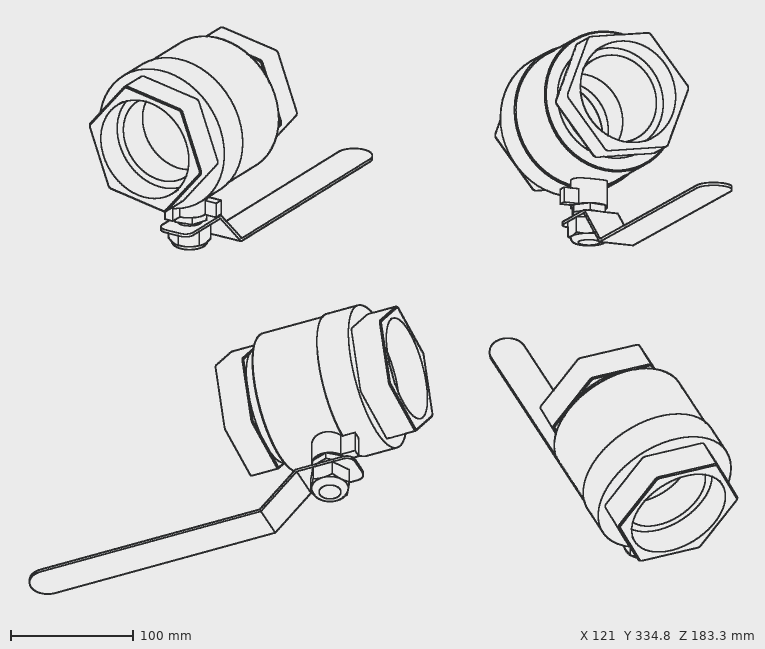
import cadquery as cq
import math


OVERALL_LENGTH = 334.82
FRONT_END = -68.5
CAP_RING_FRONT = -42.4
SPLIT_PLANE = -14.3
BARREL_REAR = 44.3
REAR_HEX_FRONT = 53.9
REAR_END = 78.7

BARREL_DIAMETER = 118
CAP_RING_DIAMETER = 121
COLLAR_DIAMETER = 95.8
BORE_DIAMETER = 73.2
SOCKET_DIAMETER = 85.3
SOCKET_DEPTH = 25

HEX_ACROSS_FLATS = 96
HEX_CORNER_FILLET = 4
HEX_TURN = 9.5
EDGE_CHAMFER = 1

BOSS_DIAMETER = 30
BOSS_BOTTOM = -79.2
STOP_REACH = 25.7
STOP_WIDTH = 7.8
SIDE_STOP_HEIGHT = 12.5

GLAND_ACROSS_CORNERS = 30
GLAND_TURN = 10
GLAND_BOTTOM = -85.2
NECK_DIAMETER = 20
THREAD_DIAMETER = 17.8

HANDLE_WIDTH = 30
HANDLE_THICKNESS = 2.5
HANDLE_TOP = -88.5
HANDLE_BOTTOM = -122.82
HANDLE_FRONT = -25.7
HANDLE_REAR = FRONT_END + OVERALL_LENGTH
HANDLE_FRONT_FILLET = 7.5
BEND_START = 24.3
BEND_ANGLE = 45

NUT_ACROSS_FLATS = 30
NUT_BOTTOM = -108.9
NUT_DOME_FILLET = 4
NUT_CORNER_SLOPE = 30


def pipe_cylinder(diameter, start, end):
    """Cylinder on the pipe axis between two Y positions."""
    return cq.Workplane("XZ", origin=(0, start, 0)).circle(diameter / 2).extrude(start - end)


def stem_cylinder(diameter, bottom, top):
    """Cylinder on the stem axis between two heights."""
    return cq.Workplane("XY", origin=(0, 0, bottom)).circle(diameter / 2).extrude(top - bottom)


def across_corners(across_flats):
    """Corner-to-corner size of a hexagon."""
    return across_flats / math.cos(math.pi / 6)


def pipe_hexagon(start, end):
    """Hexagon on the pipe axis with rounded corners and a chamfered front end."""
    hexagon = (
        cq.Workplane("XZ", origin=(0, start, 0))
        .polygon(6, across_corners(HEX_ACROSS_FLATS))
        .extrude(start - end)
        .edges("|Y")
        .fillet(HEX_CORNER_FILLET)
        .rotate((0, 0, 0), (0, 1, 0), HEX_TURN)
    )
    return hexagon.faces("<Y").edges().chamfer(EDGE_CHAMFER)


def make_cap():
    """Front half of the valve body: ring and hexagon around the bore."""
    ring = pipe_cylinder(CAP_RING_DIAMETER, CAP_RING_FRONT, SPLIT_PLANE)
    cap = ring.union(pipe_hexagon(FRONT_END, CAP_RING_FRONT))
    cap = cap.cut(pipe_cylinder(BORE_DIAMETER, FRONT_END, SPLIT_PLANE))
    return cap.cut(pipe_cylinder(SOCKET_DIAMETER, FRONT_END, FRONT_END + SOCKET_DEPTH))


def make_stops():
    """Front stop over the full boss height and a shorter stop on the +X side."""
    front_stop = cq.Workplane("XY", origin=(0, 0, BOSS_BOTTOM)).box(
        STOP_WIDTH, STOP_REACH, -BOSS_BOTTOM - BORE_DIAMETER / 2, centered=False
    ).translate((-STOP_WIDTH, -STOP_REACH, 0))
    side_stop = cq.Workplane("XY", origin=(0, 0, BOSS_BOTTOM)).box(
        STOP_REACH, STOP_WIDTH, SIDE_STOP_HEIGHT, centered=False
    )
    return front_stop.union(side_stop)


def make_housing():
    """Barrel, collar, rear hexagon, stem boss and stops, kept clear of the cap ring."""
    barrel = pipe_cylinder(BARREL_DIAMETER, SPLIT_PLANE, BARREL_REAR)
    barrel = barrel.faces(">Y").edges().chamfer(EDGE_CHAMFER)
    housing = (
        barrel.union(pipe_cylinder(COLLAR_DIAMETER, BARREL_REAR, REAR_HEX_FRONT))
        .union(pipe_hexagon(REAR_HEX_FRONT, REAR_END))
        .union(stem_cylinder(BOSS_DIAMETER, BOSS_BOTTOM, -BORE_DIAMETER / 2))
        .union(make_stops())
    )
    housing = housing.cut(pipe_cylinder(BORE_DIAMETER, FRONT_END, REAR_END))
    housing = housing.cut(pipe_cylinder(SOCKET_DIAMETER, REAR_END - SOCKET_DEPTH, REAR_END))
    cap_envelope = pipe_cylinder(CAP_RING_DIAMETER, CAP_RING_FRONT, SPLIT_PLANE)
    return housing.cut(cap_envelope)


def make_stem():
    """Gland hexagon, neck and thread in one piece; the neck rests on the handle."""
    gland = (
        cq.Workplane("XY", origin=(0, 0, GLAND_BOTTOM))
        .polygon(6, GLAND_ACROSS_CORNERS)
        .extrude(BOSS_BOTTOM - GLAND_BOTTOM)
        .rotate((0, 0, 0), (0, 0, 1), GLAND_TURN)
    )
    neck = stem_cylinder(NECK_DIAMETER, HANDLE_TOP, GLAND_BOTTOM)
    thread = stem_cylinder(THREAD_DIAMETER, NUT_BOTTOM, HANDLE_TOP)
    return gland.union(neck).union(thread)


def make_handle():
    """Bent strip with a rounded far end, bored for the threaded end of the stem."""
    drop = HANDLE_TOP - HANDLE_THICKNESS - HANDLE_BOTTOM
    slope_run = drop / math.tan(math.radians(BEND_ANGLE))
    bend_shift = HANDLE_THICKNESS * math.tan(math.radians(BEND_ANGLE / 2))
    lower_top = HANDLE_BOTTOM + HANDLE_THICKNESS
    upper_bottom = HANDLE_TOP - HANDLE_THICKNESS
    side_profile = [
        (HANDLE_FRONT, HANDLE_TOP),
        (BEND_START, HANDLE_TOP),
        (BEND_START + slope_run, lower_top),
        (HANDLE_REAR, lower_top),
        (HANDLE_REAR, HANDLE_BOTTOM),
        (BEND_START - bend_shift + slope_run, HANDLE_BOTTOM),
        (BEND_START - bend_shift, upper_bottom),
        (HANDLE_FRONT, upper_bottom),
    ]
    strip = cq.Workplane("YZ").polyline(side_profile).close().extrude(HANDLE_WIDTH / 2, both=True)
    strip = strip.faces("<Y").edges("|Z").fillet(HANDLE_FRONT_FILLET)
    round_centre = HANDLE_REAR - HANDLE_WIDTH / 2
    outline = (
        cq.Workplane("XY", origin=(0, 0, HANDLE_BOTTOM))
        .moveTo(-HANDLE_WIDTH / 2, HANDLE_FRONT)
        .lineTo(HANDLE_WIDTH / 2, HANDLE_FRONT)
        .lineTo(HANDLE_WIDTH / 2, round_centre)
        .threePointArc((0, HANDLE_REAR), (-HANDLE_WIDTH / 2, round_centre))
        .close()
        .extrude(HANDLE_TOP - HANDLE_BOTTOM)
    )
    return strip.intersect(outline).cut(stem_cylinder(THREAD_DIAMETER, upper_bottom, HANDLE_TOP))


def make_nut():
    """Hexagon nut with sloped corners above a rounded lower end, corners on the Y axis."""
    nut_top = HANDLE_TOP - HANDLE_THICKNESS
    corner_radius = across_corners(NUT_ACROSS_FLATS) / 2
    hexagon = (
        cq.Workplane("XY", origin=(0, 0, NUT_BOTTOM))
        .polygon(6, 2 * corner_radius)
        .extrude(nut_top - NUT_BOTTOM)
        .rotate((0, 0, 0), (0, 0, 1), 90)
    )
    dome_radius = NUT_ACROSS_FLATS / 2
    dome_top = NUT_BOTTOM + NUT_DOME_FILLET
    slope_rise = (corner_radius - dome_radius) * math.tan(math.radians(NUT_CORNER_SLOPE))
    arc_centre_radius = dome_radius - NUT_DOME_FILLET
    arc_reach = NUT_DOME_FILLET * math.sqrt(0.5)
    arc_middle = (arc_centre_radius + arc_reach, dome_top - arc_reach)
    envelope = (
        cq.Workplane("XZ")
        .moveTo(0, NUT_BOTTOM)
        .lineTo(arc_centre_radius, NUT_BOTTOM)
        .threePointArc(arc_middle, (dome_radius, dome_top))
        .lineTo(corner_radius, dome_top + slope_rise)
        .lineTo(corner_radius, nut_top)
        .lineTo(0, nut_top)
        .close()
        .revolve(360, (0, 0, 0), (0, 1, 0))
    )
    return hexagon.intersect(envelope).cut(stem_cylinder(THREAD_DIAMETER, NUT_BOTTOM, nut_top))


cap = make_cap()
housing = make_housing()
stem = make_stem()
handle = make_handle()
nut = make_nut()

result = cq.Compound.makeCompound([housing.val(), cap.val(), stem.val(), handle.val(), nut.val()])